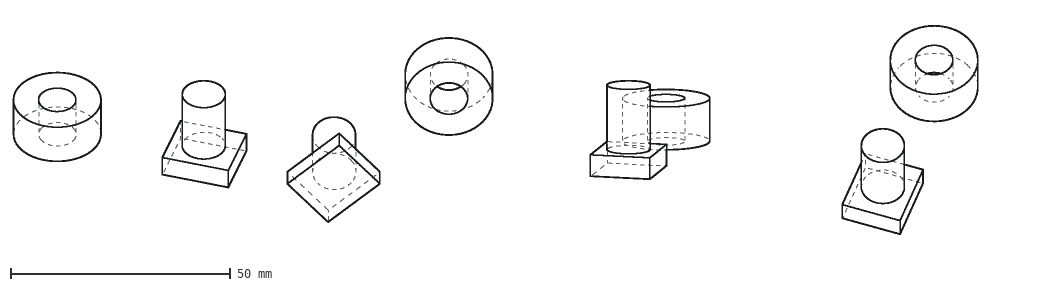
import cadquery as cq

COLLAR_DIAMETER = 20.0
COLLAR_BORE = 8.55
COLLAR_HEIGHT = COLLAR_DIAMETER / 2

OVERALL_LENGTH = 53.0
PIN_HEIGHT = 20.0
FOOT_LENGTH = 15.8
FOOT_WIDTH = 14.0
FOOT_HEIGHT = PIN_HEIGHT / 4
POST_DIAMETER = 9.85
POST_SPACING = 35.0

FOOT_CENTER_X = OVERALL_LENGTH - COLLAR_DIAMETER / 2 - FOOT_LENGTH / 2


def make_collar():
    """Ring with a through bore."""
    return (
        cq.Workplane("XY")
        .circle(COLLAR_DIAMETER / 2)
        .circle(COLLAR_BORE / 2)
        .extrude(COLLAR_HEIGHT)
    )


def make_pin():
    """Rectangular foot and upright post, joined as one body."""
    foot = (
        cq.Workplane("XY")
        .center(FOOT_CENTER_X, 0)
        .rect(FOOT_LENGTH, FOOT_WIDTH)
        .extrude(FOOT_HEIGHT)
    )
    post = (
        cq.Workplane("XY")
        .center(POST_SPACING, 0)
        .circle(POST_DIAMETER / 2)
        .extrude(PIN_HEIGHT)
    )
    return foot.union(post)


collar = make_collar()
pin = make_pin()

result = cq.Compound.makeCompound([collar.val(), *pin.solids().vals()])